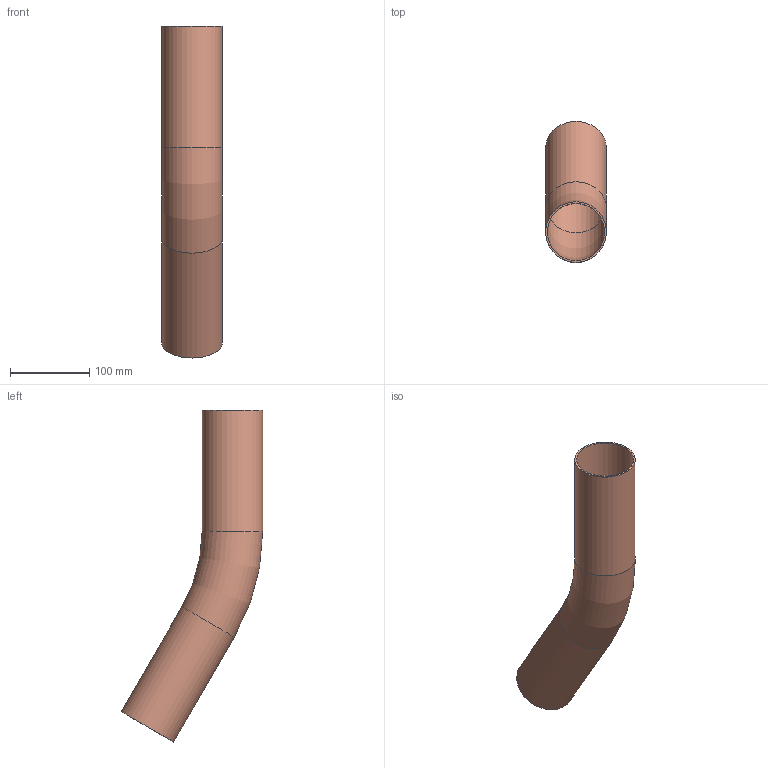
import cadquery as cq
import math

outer_diameter = 76.2
inner_diameter = 71.98
leg_length = 152.4
bend_radius = 3 * outer_diameter
bend_angle = 30.0


def bend_point(angle_degrees):
    """Centreline (Y, Z) point at an angle into the bend, which starts at the origin and turns to +Y."""
    angle = math.radians(angle_degrees)
    return (bend_radius * (1 - math.cos(angle)), -bend_radius * math.sin(angle))


def centreline():
    """Path down the vertical leg, round the bend and along the slanted leg."""
    angle = math.radians(bend_angle)
    bend_end_y, bend_end_z = bend_point(bend_angle)
    slanted_leg_end = (
        bend_end_y + leg_length * math.sin(angle),
        bend_end_z - leg_length * math.cos(angle),
    )
    return (
        cq.Workplane("YZ")
        .moveTo(0, leg_length)
        .lineTo(0, 0)
        .threePointArc(bend_point(bend_angle / 2), (bend_end_y, bend_end_z))
        .lineTo(*slanted_leg_end)
    )


def tube():
    """Ring section at the top of the vertical leg, swept along the centreline."""
    return (
        cq.Workplane("XY")
        .workplane(offset=leg_length)
        .circle(outer_diameter / 2)
        .circle(inner_diameter / 2)
        .sweep(centreline())
    )


result = tube()